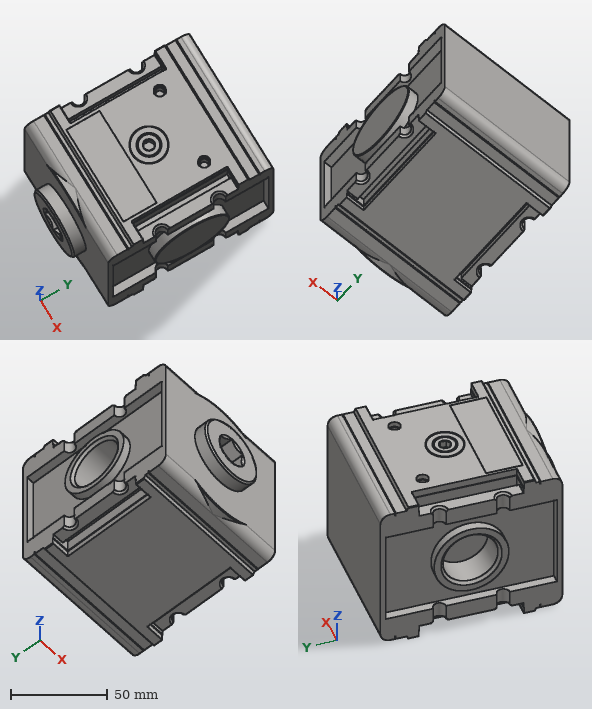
import cadquery as cq

BODY_X = 85.0
BODY_Y = 100.0
BODY_Z = 85.0
CORNER_RADIUS = 5.4
HALF_X = BODY_X / 2
HALF_Y = BODY_Y / 2
HALF_Z = BODY_Z / 2

TOTAL_Z = 89.0
PAD_TOP_Z = TOTAL_Z / 2
PAD_FOOT_HALF_Y = 35.6
PAD_TOP_HALF_Y = 34.6
PAD_END_CHAMFER = 0.4

SLOT_PLACES_Y = (41.7, -37.9)
SLOT_WIDTH = 0.4
SLOT_DEPTH = 1.5

NOTCH_HALF_Y = 28.6
NOTCH_DEPTH_X = 11.2
NOTCH_FLOOR_Z = 37.3
NOTCH_STEP_Z = 40.3
NOTCH_STEP = 0.3
LEDGE_X = 7.2
CLAMP_GROOVE_DEPTH = 5.0

CHANNEL_PITCH_Y = 35.0
CHANNEL_DIA = 7.0
CHANNEL_MOUTH_DIA = 9.4
CHANNEL_MOUTH_DEPTH = (CHANNEL_MOUTH_DIA - CHANNEL_DIA) / 2

RECESS_Y = 94.0
RECESS_Z = 55.1
RECESS_DEPTH = 5.0

PORT_RING_DIA = 41.0
PORT_DIA = 30.2
PORT_MOUTH_DIA = 33.5
PORT_DEPTH = 17.5

SPIGOT_DIA = 45.0
SPIGOT_PROUD = 1.5
SPIGOT_CHAMFER = 0.4

FACE_DISC_DIA = BODY_Z
FACE_DISC_CHAMFER = 0.4
PLUG_DIA = 40.0
PLUG_HEIGHT = 8.0
PLUG_CHAMFER = 1.0
SOCKET_MOUTH_DIA = 19.7
SOCKET_DEPTH = 13.0
HEX_FLAT_RATIO = 3 ** 0.5 / 2
SOCKET_LEAD_IN_DEPTH = 1.1

BUTTON_GROOVES = ((20.5, 20.1, 19.7), (13.2, 12.3, 11.5))
BUTTON_GROOVE_DEPTH = 0.4
BUTTON_SOCKET_DIA = 6.5
BUTTON_SOCKET_DEPTH = 4.3
BUTTON_LEAD_IN_DEPTH = 0.3
PIN_HOLE_PITCH_X = 45.0
PIN_HOLE_Y = 20.0
PIN_HOLE_DIA = 5.0
PIN_HOLE_MOUTH_DIA = 6.5
PIN_HOLE_MOUTH_DEPTH = 3.0
PIN_HOLE_DEPTH = 8.6
LABEL_X = 58.1
LABEL_Y = 20.1
LABEL_CENTRE_Y = -22.7
LABEL_DEPTH = 0.2


def block(x_range, y_range, z_range):
    """Box spanning the given (low, high) ranges."""
    sizes = [high - low for low, high in (x_range, y_range, z_range)]
    corner = (x_range[0], y_range[0], z_range[0])
    return cq.Workplane("XY").box(*sizes, centered=False).translate(corner)


def cylinder(start, direction, diameter, length):
    axis = cq.Vector(*direction)
    return cq.Workplane(cq.Solid.makeCylinder(diameter / 2, length, cq.Vector(*start), axis))


def cone(start, direction, start_dia, end_dia, length):
    axis = cq.Vector(*direction)
    return cq.Workplane(cq.Solid.makeCone(start_dia / 2, end_dia / 2, length, cq.Vector(*start), axis))


def both_sides(shape, plane):
    """The shape together with its mirror image."""
    return shape.union(shape.mirror(plane))


def body():
    core = cq.Workplane("XY").box(BODY_X, BODY_Y, BODY_Z).edges("|X").fillet(CORNER_RADIUS)
    face_disc = (
        cylinder((0, -HALF_Y, 0), (0, 1, 0), FACE_DISC_DIA, 2 * CORNER_RADIUS)
        .faces("<Y").chamfer(FACE_DISC_CHAMFER)
    )
    return core.union(face_disc)


def pads():
    pad = (
        cq.Workplane("YZ").workplane(offset=-HALF_X)
        .moveTo(-PAD_FOOT_HALF_Y, 0)
        .lineTo(-PAD_FOOT_HALF_Y, HALF_Z)
        .lineTo(-PAD_TOP_HALF_Y, PAD_TOP_Z)
        .lineTo(PAD_TOP_HALF_Y, PAD_TOP_Z)
        .lineTo(PAD_FOOT_HALF_Y, HALF_Z)
        .lineTo(PAD_FOOT_HALF_Y, 0)
        .close().extrude(BODY_X)
        .faces(">Z").edges("<X").chamfer(PAD_END_CHAMFER)
    )
    return both_sides(pad, "XY")


def slots():
    all_slots = cq.Workplane("XY")
    for y in SLOT_PLACES_Y:
        slot = block(
            (-HALF_X, HALF_X),
            (y - SLOT_WIDTH / 2, y + SLOT_WIDTH / 2),
            (HALF_Z - SLOT_DEPTH, HALF_Z),
        )
        all_slots = all_slots.union(both_sides(slot, "XY"))
    return all_slots


def clamp_notches():
    """Notches with a deeper inner groove and two screw channels, at all four X-Z corners."""
    width = (-NOTCH_HALF_Y, NOTCH_HALF_Y)
    inner_x = -HALF_X + NOTCH_DEPTH_X
    notch = block((-HALF_X, inner_x), width, (NOTCH_FLOOR_Z, PAD_TOP_Z))
    upper_half_y = NOTCH_HALF_Y + NOTCH_STEP
    upper_notch = block(
        (-HALF_X, inner_x + NOTCH_STEP),
        (-upper_half_y, upper_half_y),
        (NOTCH_STEP_Z, PAD_TOP_Z),
    )
    notch = notch.union(upper_notch)
    groove_floor_z = NOTCH_FLOOR_Z - CLAMP_GROOVE_DEPTH
    notch = notch.union(block((-HALF_X + LEDGE_X, inner_x), width, (groove_floor_z, NOTCH_FLOOR_Z)))
    down = (0, 0, -1)
    for y in (-CHANNEL_PITCH_Y / 2, CHANNEL_PITCH_Y / 2):
        mouth = (-HALF_X, y, NOTCH_FLOOR_Z)
        channel = cylinder(mouth, down, CHANNEL_DIA, NOTCH_FLOOR_Z - RECESS_Z / 2)
        flare = cone(mouth, down, CHANNEL_MOUTH_DIA, CHANNEL_DIA, CHANNEL_MOUTH_DEPTH)
        notch = notch.union(channel).union(flare)
    return both_sides(both_sides(notch, "XY"), "YZ")


def end_recesses():
    recess = block(
        (-HALF_X, -HALF_X + RECESS_DEPTH),
        (-RECESS_Y / 2, RECESS_Y / 2),
        (-RECESS_Z / 2, RECESS_Z / 2),
    )
    return both_sides(recess, "YZ")


def port_ring():
    return cylinder((-HALF_X, 0, 0), (1, 0, 0), PORT_RING_DIA, RECESS_DEPTH)


def port_bore():
    mouth = (-HALF_X, 0, 0)
    inward = (1, 0, 0)
    chamfer = (PORT_MOUTH_DIA - PORT_DIA) / 2
    bore = cylinder(mouth, inward, PORT_DIA, PORT_DEPTH)
    return bore.union(cone(mouth, inward, PORT_MOUTH_DIA, PORT_DIA, chamfer))


def spigot():
    start = (HALF_X - RECESS_DEPTH, 0, 0)
    length = RECESS_DEPTH + SPIGOT_PROUD
    return cylinder(start, (1, 0, 0), SPIGOT_DIA, length).faces(">X").chamfer(SPIGOT_CHAMFER)


def plug():
    head = cylinder((0, -HALF_Y, 0), (0, -1, 0), PLUG_DIA, PLUG_HEIGHT)
    return head.faces("<Y").chamfer(PLUG_CHAMFER)


def hex_socket(mouth_dia, depth, lead_in_depth):
    """Hexagon sunk from the XY plane, flats facing X, with a conical lead-in reaching its corners."""
    hexagon = cq.Workplane("XY").transformed(rotate=(0, 0, 90)).polygon(6, mouth_dia).extrude(-depth)
    across_flats = mouth_dia * HEX_FLAT_RATIO
    return hexagon.union(cone((0, 0, 0), (0, 0, -1), mouth_dia, across_flats, lead_in_depth))


def plug_socket():
    socket = hex_socket(SOCKET_MOUTH_DIA, SOCKET_DEPTH, SOCKET_LEAD_IN_DEPTH)
    return socket.rotate((0, 0, 0), (1, 0, 0), 90).translate((0, -HALF_Y - PLUG_HEIGHT, 0))


def button_cuts():
    cuts = hex_socket(BUTTON_SOCKET_DIA, BUTTON_SOCKET_DEPTH, BUTTON_LEAD_IN_DEPTH)
    for outer_dia, bottom_dia, inner_dia in BUTTON_GROOVES:
        groove = (
            cq.Workplane("XZ")
            .moveTo(outer_dia / 2, 0)
            .lineTo(bottom_dia / 2, -BUTTON_GROOVE_DEPTH)
            .lineTo(inner_dia / 2, 0)
            .close().revolve(360, (0, 0), (0, 1))
        )
        cuts = cuts.union(groove)
    return cuts.translate((0, 0, PAD_TOP_Z))


def pin_holes():
    down = (0, 0, -1)
    holes = cq.Workplane("XY")
    for x in (-PIN_HOLE_PITCH_X / 2, PIN_HOLE_PITCH_X / 2):
        mouth = (x, PIN_HOLE_Y, PAD_TOP_Z)
        holes = holes.union(cylinder(mouth, down, PIN_HOLE_DIA, PIN_HOLE_DEPTH))
        holes = holes.union(cylinder(mouth, down, PIN_HOLE_MOUTH_DIA, PIN_HOLE_MOUTH_DEPTH))
    return holes


def label_recess():
    return block(
        (-LABEL_X / 2, LABEL_X / 2),
        (LABEL_CENTRE_Y - LABEL_Y / 2, LABEL_CENTRE_Y + LABEL_Y / 2),
        (PAD_TOP_Z - LABEL_DEPTH, PAD_TOP_Z),
    )


result = body().union(pads()).cut(slots()).cut(end_recesses()).cut(clamp_notches())
result = result.union(port_ring()).union(spigot()).union(plug())
result = result.cut(port_bore()).cut(plug_socket())
result = result.cut(button_cuts()).cut(pin_holes()).cut(label_recess())